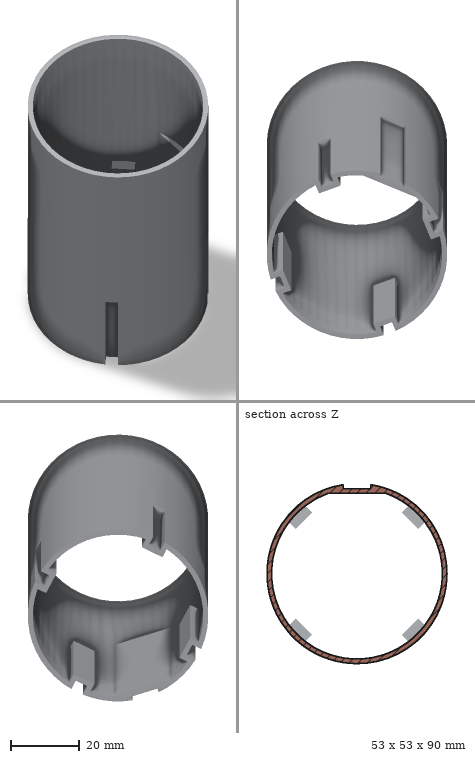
import cadquery as cq

OUTER_DIAMETER = 53.0
WALL = 1.5
HEIGHT = 90.0
OUTER_RADIUS = OUTER_DIAMETER / 2
INNER_RADIUS = OUTER_RADIUS - WALL

SLOT_ANGLES = (45, 135, 225, 315)
SLOT_WIDTH = 3.8
SLOT_DEPTH = 3.0
SLOT_HEIGHT = 30.0
SLOT_FLOOR_RADIUS = OUTER_RADIUS - SLOT_DEPTH
RIB_WIDTH = SLOT_WIDTH + 2 * WALL
RIB_FACE_RADIUS = SLOT_FLOOR_RADIUS - WALL
RIB_HEIGHT = SLOT_HEIGHT + WALL

LONG_SLOT_ANGLE = 90
LONG_SLOT_WIDTH = 8.0
LONG_SLOT_DEPTH = 1.5
LONG_SLOT_HEIGHT = 47.5
LONG_SLOT_FLOOR_RADIUS = OUTER_RADIUS - LONG_SLOT_DEPTH
PAD_FACE_OFFSET = LONG_SLOT_FLOOR_RADIUS - WALL
PAD_HEIGHT = LONG_SLOT_HEIGHT + WALL


def disc(radius, height):
    """Solid cylinder on the tube axis, standing on the bottom plane."""
    return cq.Workplane("XY").circle(radius).extrude(height)


def radial_block(inner, outer, width, height, angle):
    """Upright block standing on the bottom plane, reaching from inner to outer along a radius."""
    block = cq.Workplane("XY").box(outer - inner, width, height, centered=(False, True, False))
    return block.translate((inner, 0, 0)).rotate((0, 0, 0), (0, 0, 1), angle)


def make_tube():
    return disc(OUTER_RADIUS, HEIGHT).cut(disc(INNER_RADIUS, HEIGHT))


def make_rib(angle):
    """Backing rib, trimmed to the round outside of the tube."""
    block = radial_block(RIB_FACE_RADIUS, OUTER_RADIUS, RIB_WIDTH, RIB_HEIGHT, angle)
    return block.intersect(disc(OUTER_RADIUS, RIB_HEIGHT))


def make_slot(floor_radius, width, height, angle):
    """Slot cutter, running past the outside so that it clears the curved wall."""
    return radial_block(floor_radius, OUTER_RADIUS + WALL, width, height, angle)


def make_pad():
    """Segment of the tube's cross-section beyond the flat pad face."""
    block = (
        cq.Workplane("XY")
        .box(OUTER_DIAMETER, OUTER_RADIUS, PAD_HEIGHT, centered=(True, False, False))
        .translate((0, PAD_FACE_OFFSET, 0))
    )
    return block.intersect(disc(OUTER_RADIUS, PAD_HEIGHT))


result = make_tube().union(make_pad())
for slot_angle in SLOT_ANGLES:
    result = result.union(make_rib(slot_angle))
    result = result.cut(make_slot(SLOT_FLOOR_RADIUS, SLOT_WIDTH, SLOT_HEIGHT, slot_angle))
result = result.cut(make_slot(LONG_SLOT_FLOOR_RADIUS, LONG_SLOT_WIDTH, LONG_SLOT_HEIGHT, LONG_SLOT_ANGLE))